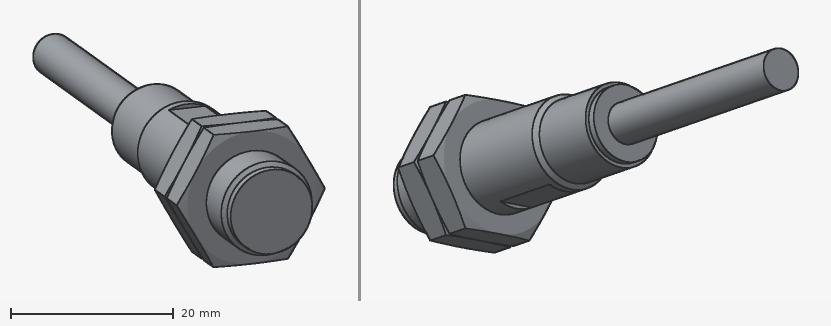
import cadquery as cq
import math

TOTAL_LENGTH = 72.5
CABLE_END = 32.0
COLLAR_END = 33.0
SLEEVE_END = 42.5
BARREL_START = 43.15
FLATS_START = 44.45
FLATS_LENGTH = 10.1
NUTS_START = 58.0
BARREL_END = 70.9
NOSE_START = 71.35

CABLE_DIAMETER = 5.4
COLLAR_DIAMETER = 9.8
SLEEVE_DIAMETER = 10.8
NOSE_DIAMETER = 10.8
BARREL_DIAMETER = 12.0
ACROSS_WRENCH_FLATS = 11.0

NUT_COUNT = 2
NUT_THICKNESS = 4.0
NUT_ACROSS_CORNERS = 19.65
NUT_ACROSS_FLATS = NUT_ACROSS_CORNERS * math.cos(math.pi / 6)
NUT_FACE_DIAMETER = NUT_ACROSS_FLATS
NUT_CHAMFER_LENGTH = 0.35


def revolve_profile(stations):
    """Solid of revolution about X through (x, diameter) stations."""
    profile = cq.Workplane("XY").moveTo(stations[0][0], 0)
    for x, diameter in stations:
        profile = profile.lineTo(x, diameter / 2)
    profile = profile.lineTo(stations[-1][0], 0).close()
    return profile.revolve(360, (0, 0, 0), (1, 0, 0))


def make_sensor():
    """Stepped sensor body with its cable and two opposed wrench flats."""
    body = revolve_profile([
        (0, CABLE_DIAMETER),
        (CABLE_END, CABLE_DIAMETER),
        (CABLE_END, COLLAR_DIAMETER),
        (COLLAR_END, COLLAR_DIAMETER),
        (COLLAR_END, SLEEVE_DIAMETER),
        (SLEEVE_END, SLEEVE_DIAMETER),
        (BARREL_START, BARREL_DIAMETER),
        (BARREL_END, BARREL_DIAMETER),
        (NOSE_START, NOSE_DIAMETER),
        (TOTAL_LENGTH, NOSE_DIAMETER),
    ])
    cutter_height = BARREL_DIAMETER / 2
    cutter_offset = (ACROSS_WRENCH_FLATS + cutter_height) / 2
    for side in (-1, 1):
        cutter = cq.Workplane("XY").box(
            FLATS_LENGTH, BARREL_DIAMETER, cutter_height
        ).translate((FLATS_START + FLATS_LENGTH / 2, 0, side * cutter_offset))
        body = body.cut(cutter)
    return body


def make_nut(start):
    """Hexagon nut with corners on Y, both faces chamfered, bored to fit the barrel."""
    end = start + NUT_THICKNESS
    hexagon = (
        cq.Workplane("YZ", origin=(start, 0, 0))
        .polygon(6, NUT_ACROSS_CORNERS)
        .extrude(NUT_THICKNESS)
    )
    chamfer_envelope = revolve_profile([
        (start, NUT_FACE_DIAMETER),
        (start + NUT_CHAMFER_LENGTH, NUT_ACROSS_CORNERS),
        (end - NUT_CHAMFER_LENGTH, NUT_ACROSS_CORNERS),
        (end, NUT_FACE_DIAMETER),
    ])
    bore = revolve_profile([(start, BARREL_DIAMETER), (end, BARREL_DIAMETER)])
    return hexagon.intersect(chamfer_envelope).cut(bore)


sensor = make_sensor()
nuts = [
    make_nut(NUTS_START + index * NUT_THICKNESS)
    for index in range(NUT_COUNT)
]

result = cq.Compound.makeCompound([sensor.val(), *[nut.val() for nut in nuts]])